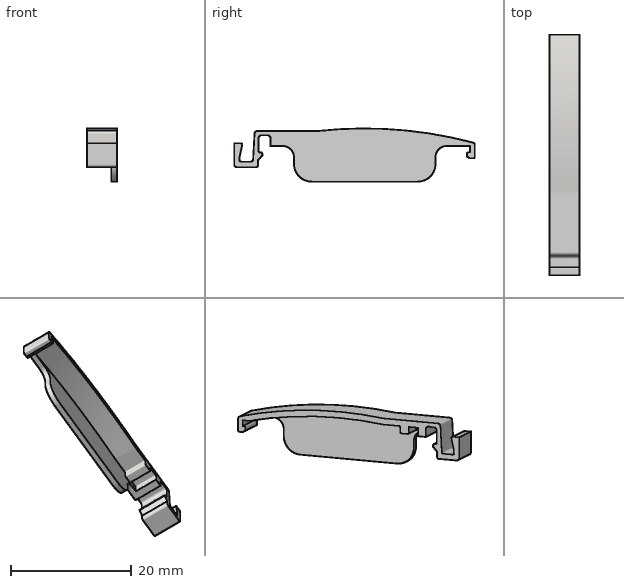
import cadquery as cq
import math

length = 40.0
width = 5.0
height = 8.9

strap_thickness = 1.05
apex_from_back = 18.35
top_radius = 70.4
flat_start = 26.25
ledge_z = 5.9

back_wall = 0.85
back_nub_reach = 1.3
back_nub_top = 4.9
back_nub_bottom = 4.15
back_bottom = 3.9
back_top_radius = 0.5
back_bottom_radius = 0.3

tooth_start = 29.35
tooth_end = 30.9
tooth_bottom = 6.15
tooth_radius = 0.25
block_start = 32.6
block_end = 33.95

slot_top = 7.7
slot_radius = 0.5
stem_inner = 35.9
stem_outer_top = 36.6
stem_outer_bottom = 36.9
latch_top = 4.9
latch_root = 35.45
latch_tip = 35.2
latch_tip_z = 4.5
latch_bottom = 3.6
clip_inner = 36.0
clip_bottom = 2.4
clip_floor = 3.35
clip_top = 6.4
lip_inner_top = 38.55
lip_inner_bottom = 39.1
lip_bend_z = 4.1
stem_top_radius = 0.5
clip_radius = 0.35
lip_radius = 0.25
clip_front_radius = 0.5

web_thickness = 1.0
web_start = 6.5
web_end = 30.1
web_corner_radius = 3.0
web_root_radius = 1.8

arc_center_z = height - top_radius


def arc_z(distance, radius):
    """Height of a strap arc at a distance from the back end."""
    return arc_center_z + math.sqrt(radius**2 - (distance - apex_from_back) ** 2)


def at(distance, z):
    """Sketch point from a distance measured from the back end and a height."""
    return (length / 2 - distance, z)


def corner_edges(solid, corners):
    """Edges along X that pass through the given sketch corners."""
    edges = solid.edges("|X").vals()
    found = []
    for y, z in corners:
        found.append(min(edges, key=lambda e: math.hypot(e.Center().y - y, e.Center().z - z)))
    return solid.newObject(found)


bottom_radius = top_radius - strap_thickness
flat_top = arc_z(flat_start, top_radius)
flat_bottom = arc_z(flat_start, bottom_radius)
ledge_end = apex_from_back - math.sqrt(bottom_radius**2 - (ledge_z - arc_center_z) ** 2)


def make_strap():
    """Full-width strap with its back hook, tooth, block and front clip."""
    strap = (
        cq.Workplane("YZ", origin=(-width / 2, 0, 0))
        .moveTo(*at(0, arc_z(0, top_radius)))
        .threePointArc(at(apex_from_back, height), at(flat_start, flat_top))
        .lineTo(*at(stem_outer_top, flat_top))
        .lineTo(*at(stem_outer_bottom, clip_floor))
        .lineTo(*at(lip_inner_bottom, clip_floor))
        .lineTo(*at(lip_inner_bottom, lip_bend_z))
        .lineTo(*at(lip_inner_top, clip_top))
        .lineTo(*at(length, clip_top))
        .lineTo(*at(length, clip_bottom))
        .lineTo(*at(clip_inner, clip_bottom))
        .lineTo(*at(clip_inner, latch_bottom))
        .lineTo(*at(latch_tip, latch_tip_z))
        .lineTo(*at(latch_root, latch_top))
        .lineTo(*at(stem_inner, latch_top))
        .lineTo(*at(stem_inner, slot_top))
        .lineTo(*at(block_end, slot_top))
        .lineTo(*at(block_end, ledge_z))
        .lineTo(*at(block_start, ledge_z))
        .lineTo(*at(block_start, flat_bottom))
        .lineTo(*at(tooth_end, flat_bottom))
        .lineTo(*at(tooth_end, tooth_bottom))
        .lineTo(*at(tooth_start, tooth_bottom))
        .lineTo(*at(tooth_start, flat_bottom))
        .lineTo(*at(flat_start, flat_bottom))
        .threePointArc(at(apex_from_back, height - strap_thickness), at(ledge_end, ledge_z))
        .lineTo(*at(back_wall, ledge_z))
        .lineTo(*at(back_wall, back_nub_top))
        .lineTo(*at(back_nub_reach, back_nub_top))
        .lineTo(*at(back_nub_reach, back_nub_bottom))
        .lineTo(*at(back_wall, back_bottom))
        .lineTo(*at(0, back_bottom))
        .close()
        .extrude(width)
    )
    rounded_corners = [
        (back_top_radius, [at(0, arc_z(0, top_radius))]),
        (back_bottom_radius, [at(0, back_bottom)]),
        (tooth_radius, [
            at(tooth_start, tooth_bottom),
            at(tooth_end, tooth_bottom),
            at(tooth_start, flat_bottom),
            at(block_start, flat_bottom),
        ]),
        (slot_radius, [at(block_end, slot_top), at(stem_inner, slot_top)]),
        (stem_top_radius, [at(stem_outer_top, flat_top)]),
        (clip_radius, [at(stem_outer_bottom, clip_floor), at(clip_inner, clip_bottom)]),
        (clip_front_radius, [at(length, clip_bottom)]),
        (lip_radius, [
            at(lip_inner_bottom, clip_floor),
            at(lip_inner_top, clip_top),
            at(stem_inner, latch_top),
            at(back_nub_reach, back_nub_top),
        ]),
    ]
    for radius, corners in rounded_corners:
        strap = corner_edges(strap, corners).fillet(radius)
    return strap


def make_web():
    """Thin plate filling the space under the strap and hanging below it."""
    web = (
        cq.Workplane("YZ", origin=(width / 2 - web_thickness, 0, 0))
        .moveTo(*at(ledge_end, ledge_z))
        .threePointArc(at(apex_from_back, height - strap_thickness), at(flat_start, flat_bottom))
        .lineTo(*at(block_start, flat_bottom))
        .lineTo(*at(block_start, ledge_z))
        .lineTo(*at(web_end, ledge_z))
        .lineTo(*at(web_end, 0))
        .lineTo(*at(web_start, 0))
        .lineTo(*at(web_start, ledge_z))
        .close()
        .extrude(web_thickness)
    )
    web = corner_edges(web, [at(web_start, 0), at(web_end, 0)]).fillet(web_corner_radius)
    roots = [at(web_start, ledge_z), at(web_end, ledge_z)]
    return corner_edges(web, roots).fillet(web_root_radius)


result = make_strap().union(make_web())